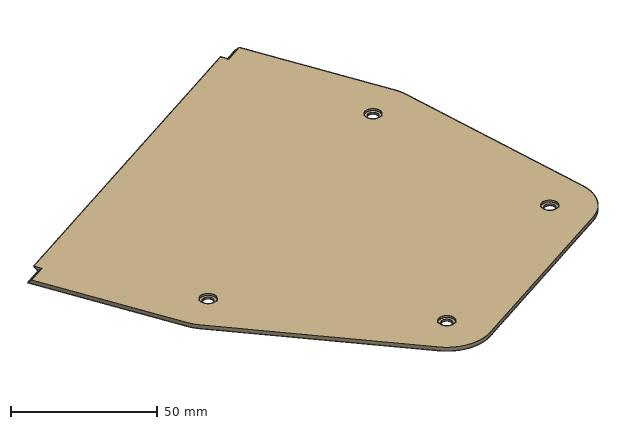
import cadquery as cq
import math

length = 157.9
width = 160.1
thickness = 1.6

hole_diameter = 4.2
counterbore_diameter = 6.2
counterbore_depth = thickness / 2
edge_margin = 16.5
rear_hole_x = 62.3
front_hole_x = length - edge_margin
rear_hole_y = width / 2 - edge_margin
front_hole_y = 39.7

end_bevel_width = 8.0
bevel_run = thickness

taper_angle = math.atan2(rear_hole_y - front_hole_y, front_hole_x - rear_hole_x)
normal_angle = math.pi / 2 - taper_angle


def rim_point(center_x, center_y, angle):
    """Point on the corner arc around a hole, at an angle from +X."""
    return (center_x + edge_margin * math.cos(angle), center_y + edge_margin * math.sin(angle))


def mirrored(point):
    return (point[0], -point[1])


def make_plate():
    """Plate with a straight rear part, tapered sides and corners concentric with the holes."""
    rear_start = (rear_hole_x, width / 2)
    rear_mid = rim_point(rear_hole_x, rear_hole_y, (math.pi / 2 + normal_angle) / 2)
    rear_end = rim_point(rear_hole_x, rear_hole_y, normal_angle)
    front_start = rim_point(front_hole_x, front_hole_y, normal_angle)
    front_mid = rim_point(front_hole_x, front_hole_y, normal_angle / 2)
    front_end = (length, front_hole_y)
    return (
        cq.Workplane("XY")
        .moveTo(0, width / 2)
        .lineTo(*rear_start)
        .threePointArc(rear_mid, rear_end)
        .lineTo(*front_start)
        .threePointArc(front_mid, front_end)
        .lineTo(*mirrored(front_end))
        .threePointArc(mirrored(front_mid), mirrored(front_start))
        .lineTo(*mirrored(rear_end))
        .threePointArc(mirrored(rear_mid), mirrored(rear_start))
        .lineTo(0, -width / 2)
        .close()
        .extrude(thickness)
    )


def edge_cutter(profile, y_start, y_end):
    """Prism with an XZ profile running from y_start to y_end."""
    return (
        cq.Workplane("XZ", origin=(0, y_start, 0))
        .polyline(profile)
        .close()
        .extrude(y_start - y_end)
    )


def bevel_rear_edge(plate):
    undercut = [(0, 0), (bevel_run, 0), (0, thickness)]
    end_bevel = [(0, 0), (bevel_run, 0), (2 * bevel_run, thickness), (0, thickness)]
    inner_y = width / 2 - end_bevel_width
    plate = plate.cut(edge_cutter(undercut, -inner_y, inner_y))
    plate = plate.cut(edge_cutter(end_bevel, inner_y, width / 2))
    return plate.cut(edge_cutter(end_bevel, -width / 2, -inner_y))


def drill_holes(plate):
    centers = [
        (x, side * y)
        for x, y in ((rear_hole_x, rear_hole_y), (front_hole_x, front_hole_y))
        for side in (1, -1)
    ]
    return (
        plate.faces(">Z")
        .workplane(origin=(0, 0, thickness))
        .pushPoints(centers)
        .cboreHole(hole_diameter, counterbore_diameter, counterbore_depth)
    )


result = drill_holes(bevel_rear_edge(make_plate()))